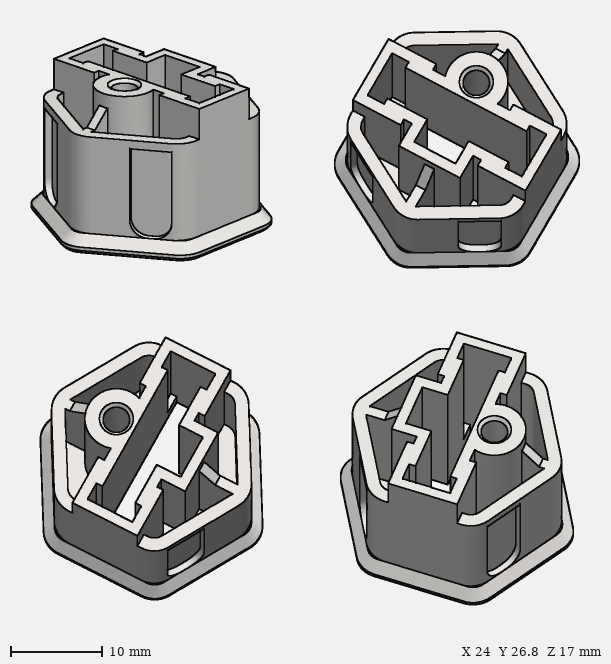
import cadquery as cq
import math

TOTAL_HEIGHT = 17.0
SHELL_TOP = 13.4
FLANGE_HEIGHT = 2.0
FLOOR_TOP = FLANGE_HEIGHT

FLANGE_APOTHEM = 12.0
BODY_APOTHEM = 10.8
WALL = 1.5
POCKET_APOTHEM = BODY_APOTHEM - WALL
OUTER_CORNER_RADIUS = 3.0
POCKET_CORNER_RADIUS = OUTER_CORNER_RADIUS - WALL
FLANGE_TOP_CHAMFER = FLANGE_APOTHEM - BODY_APOTHEM
FLANGE_BOTTOM_CHAMFER = 0.4

RECESS_DEPTH = 0.8
RECESS_WIDTH = 4.7
RECESS_OFFSET = 2.3
RECESS_TOP_MARGIN = 1.0
RECESS_TOP = SHELL_TOP - RECESS_TOP_MARGIN
RECESS_CORNER_RADIUS = 2.0

SOCKET_WALL = 1.25
SLOT_HALF_LENGTH = 9.65
SLOT_HALF_WIDTH = 2.03
KEYWAY_HALF_WIDTH = 2.58
KEYWAY_END = 5.0
KEYWAY_END_WALL = 1.22
END_BAY_HALF_WIDTH = 2.78
END_BAY_START = 7.58
WAIST_HALF_LENGTH = 4.82

BOSS_RADIUS = 3.45
BOSS_Y = -4.36
SCREW_HOLE_DIAMETER = 2.9
SCREW_HOLE_CHAMFER = 0.4

GUSSET_WIDTH = 1.2
GUSSET_RISE = 2.0


def hex_prism(apothem, corner_radius, bottom, top):
    """Hexagonal prism with rounded upright edges and flats facing +X and -X."""
    across_corners = 4 * apothem / math.sqrt(3)
    prism = cq.Workplane("XY", origin=(0, 0, bottom)).polygon(6, across_corners).extrude(top - bottom)
    prism = prism.rotate((0, 0, 0), (0, 0, 1), 30)
    return prism.edges("|Z").fillet(corner_radius)


def block(x_range, y_range, bottom, top):
    """Box spanning the given X, Y and Z limits."""
    size = (x_range[1] - x_range[0], y_range[1] - y_range[0], top - bottom)
    corner = (x_range[0], y_range[0], bottom)
    return cq.Workplane("XY", origin=corner).box(*size, centered=False)


def centred_block(half_x, half_y, bottom, top):
    """Box centred on the Z axis in plan."""
    return block((-half_x, half_x), (-half_y, half_y), bottom, top)


def make_flange():
    flange = hex_prism(FLANGE_APOTHEM, OUTER_CORNER_RADIUS, 0, FLANGE_HEIGHT)
    flange = flange.faces(">Z").chamfer(FLANGE_TOP_CHAMFER)
    return flange.faces("<Z").chamfer(FLANGE_BOTTOM_CHAMFER)


def make_recess_shape(offset):
    """Panel across the +Y wall, shifted along it, with rounded lower corners."""
    length = 2 * BODY_APOTHEM
    panel = block(
        (offset - RECESS_WIDTH / 2, offset + RECESS_WIDTH / 2), (0, length), FLANGE_HEIGHT, RECESS_TOP
    )
    return panel.edges("|Y and <Z").fillet(RECESS_CORNER_RADIUS)


def make_shell():
    """Body with the outer recesses and the inner pocket cut away."""
    shell = hex_prism(BODY_APOTHEM, OUTER_CORNER_RADIUS, 0, SHELL_TOP)
    recess_apothem = BODY_APOTHEM - RECESS_DEPTH
    core = hex_prism(recess_apothem, OUTER_CORNER_RADIUS, 0, SHELL_TOP)
    for angle, side in ((30, -1), (-30, 1), (150, 1), (210, -1)):
        panel = make_recess_shape(side * RECESS_OFFSET).rotate((0, 0, 0), (0, 0, 1), angle)
        shell = shell.cut(panel.cut(core))
    return shell.cut(hex_prism(POCKET_APOTHEM, POCKET_CORNER_RADIUS, FLOOR_TOP, SHELL_TOP))


def make_socket_outside():
    waist_half_width = SLOT_HALF_WIDTH + SOCKET_WALL
    end_half_width = END_BAY_HALF_WIDTH + SOCKET_WALL
    keyway_half_width = KEYWAY_HALF_WIDTH + SOCKET_WALL
    socket = centred_block(BODY_APOTHEM, waist_half_width, 0, TOTAL_HEIGHT)
    for x_range in ((-BODY_APOTHEM, -WAIST_HALF_LENGTH), (WAIST_HALF_LENGTH, BODY_APOTHEM)):
        socket = socket.union(block(x_range, (-end_half_width, end_half_width), 0, TOTAL_HEIGHT))
    keyway_range = (-keyway_half_width, keyway_half_width)
    return socket.union(block(keyway_range, (0, KEYWAY_END + KEYWAY_END_WALL), 0, TOTAL_HEIGHT))


def make_socket_cavity():
    """T-shaped through slot, plus wider end bays that stop at the floor."""
    cavity = centred_block(SLOT_HALF_LENGTH, SLOT_HALF_WIDTH, 0, TOTAL_HEIGHT)
    cavity = cavity.union(block((-KEYWAY_HALF_WIDTH, KEYWAY_HALF_WIDTH), (0, KEYWAY_END), 0, TOTAL_HEIGHT))
    bay_y_range = (-END_BAY_HALF_WIDTH, END_BAY_HALF_WIDTH)
    for x_range in ((-SLOT_HALF_LENGTH, -END_BAY_START), (END_BAY_START, SLOT_HALF_LENGTH)):
        cavity = cavity.union(block(x_range, bay_y_range, FLOOR_TOP, TOTAL_HEIGHT))
    return cavity


def make_boss():
    return cq.Workplane("XY", origin=(0, BOSS_Y, 0)).circle(BOSS_RADIUS).extrude(TOTAL_HEIGHT)


def make_screw_hole():
    """Blind hole down to the floor, with a chamfered mouth."""
    radius = SCREW_HOLE_DIAMETER / 2
    mouth_radius = radius + SCREW_HOLE_CHAMFER
    profile = (
        cq.Workplane("XZ", origin=(0, BOSS_Y, 0))
        .moveTo(0, FLOOR_TOP)
        .lineTo(radius, FLOOR_TOP)
        .lineTo(radius, TOTAL_HEIGHT - SCREW_HOLE_CHAMFER)
        .lineTo(mouth_radius, TOTAL_HEIGHT)
        .lineTo(0, TOTAL_HEIGHT)
        .close()
    )
    return profile.revolve(360, (0, 0, 0), (0, 1, 0))


def make_gusset(root_y, side):
    """Web from the socket slot out to the shell corner; side is +1 toward +Y, -1 toward -Y."""
    profile = (
        cq.Workplane("YZ")
        .moveTo(side * SLOT_HALF_WIDTH, 0)
        .lineTo(side * BODY_APOTHEM, 0)
        .lineTo(side * BODY_APOTHEM, SHELL_TOP)
        .lineTo(root_y + side * GUSSET_RISE, SHELL_TOP)
        .lineTo(root_y, SHELL_TOP + GUSSET_RISE)
        .lineTo(side * SLOT_HALF_WIDTH, SHELL_TOP + GUSSET_RISE)
        .close()
    )
    return profile.extrude(GUSSET_WIDTH / 2, both=True)


result = make_flange().union(make_shell())
result = result.union(make_socket_outside()).union(make_boss())
result = result.union(make_gusset(KEYWAY_END + KEYWAY_END_WALL, 1))
result = result.union(make_gusset(BOSS_Y - BOSS_RADIUS, -1))
result = result.cut(make_socket_cavity()).cut(make_screw_hole())